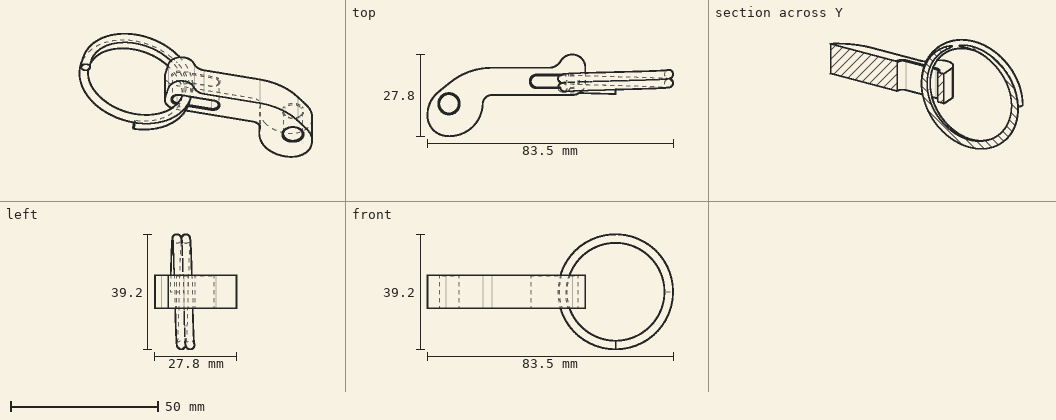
import cadquery as cq
import math

clip_thickness = 11.3
arm_half_width = 4.7
arm_start_x = 21.9
knob_center_x = 49.2
knob_radius = 4.5

foot_left_radius = 7.0
foot_left_center_y = -11.6
foot_right_radius = 11.35
foot_right_center_x = 7.5
inner_corner_radius = 3.0

shoulder_radius = 22.55
shoulder_sweep = 40.4

pin_hole_diameter = 6.5
pin_hole_x = 7.35
pin_hole_y = -7.6

slot_width = 3.9
slot_left_x = 35.15

chamfer_depth = 0.25
chamfer_width = 0.4

overall_length = 83.5
ring_outer_diameter = 39.15
wire_diameter = 3.0
coil_gap = 0.02
coil_turns = 1.75
coil_start_y = -2.8

tip_x = knob_center_x + knob_radius
slot_right_x = knob_center_x + slot_width / 2
coil_radius = (ring_outer_diameter - wire_diameter) / 2
coil_pitch = wire_diameter + coil_gap
ring_center_x = overall_length - ring_outer_diameter / 2


def point_between(start, end, fraction):
    """Return the point at a fraction of the way from start to end, or past it."""
    return (
        start[0] + fraction * (end[0] - start[0]),
        start[1] + fraction * (end[1] - start[1]),
    )


def shoulder_point(sweep):
    """Return the point of the shoulder arc at a sweep in degrees past the end of the arm."""
    angle = math.radians(sweep)
    return (
        arm_start_x - shoulder_radius * math.sin(angle),
        arm_half_width - shoulder_radius * (1 - math.cos(angle)),
    )


def make_clip_blank():
    """Extrude the outline of the clip, centered on Z = 0."""
    knob_center = (knob_center_x, arm_half_width)
    neck_center = (
        knob_center_x - math.sqrt((2 * knob_radius) ** 2 - knob_radius ** 2),
        arm_half_width + knob_radius,
    )
    neck_start = (neck_center[0], arm_half_width)
    neck_end = point_between(neck_center, knob_center, 0.5)

    shoulder_angle = math.radians(shoulder_sweep)
    shoulder_end_direction = (-math.cos(shoulder_angle), -math.sin(shoulder_angle))

    foot_left_center = (foot_left_radius, foot_left_center_y)
    radius_difference = foot_right_radius - foot_left_radius
    foot_center_shift = foot_right_center_x - foot_left_radius
    foot_right_center = (
        foot_right_center_x,
        foot_left_center_y + math.sqrt(radius_difference ** 2 - foot_center_shift ** 2),
    )
    foot_join = point_between(
        foot_right_center, foot_left_center, foot_right_radius / radius_difference)

    corner_center_y = -arm_half_width - inner_corner_radius
    corner_reach = foot_right_radius + inner_corner_radius
    corner_drop = foot_right_center[1] - corner_center_y
    corner_center = (
        foot_right_center_x + math.sqrt(corner_reach ** 2 - corner_drop ** 2),
        corner_center_y,
    )
    corner_start = point_between(foot_right_center, corner_center, foot_right_radius / corner_reach)

    return (
        cq.Workplane("XY", origin=(0, 0, -clip_thickness / 2))
        .moveTo(*neck_start)
        .lineTo(arm_start_x, arm_half_width)
        .threePointArc(shoulder_point(shoulder_sweep / 2), shoulder_point(shoulder_sweep))
        .spline(
            [(0, foot_left_center_y)],
            tangents=[shoulder_end_direction, (0, -1)],
            includeCurrent=True)
        .tangentArcPoint(foot_join, relative=False)
        .tangentArcPoint(corner_start, relative=False)
        .tangentArcPoint((corner_center[0], -arm_half_width), relative=False)
        .lineTo(knob_center_x, -arm_half_width)
        .tangentArcPoint((tip_x, knob_radius - arm_half_width), relative=False)
        .lineTo(tip_x, arm_half_width)
        .tangentArcPoint(neck_end, relative=False)
        .tangentArcPoint(neck_start, relative=False)
        .close()
        .extrude(clip_thickness)
    )


def draw_pin_hole(plane, growth):
    """Draw the pin hole on a plane, grown outward all around."""
    return plane.center(pin_hole_x, pin_hole_y).circle(pin_hole_diameter / 2 + growth)


def draw_slot(plane, growth):
    """Draw the slot on a plane, grown outward all around."""
    length = slot_right_x - slot_left_x + 2 * growth
    middle_x = (slot_left_x + slot_right_x) / 2
    return plane.center(middle_x, 0).slot2D(length, slot_width + 2 * growth)


def cut_chamfered_opening(clip, draw_profile):
    """Cut a profile through the clip and chamfer the opening at both faces."""
    lower_face = cq.Workplane("XY", origin=(0, 0, -clip_thickness / 2))
    through = draw_profile(lower_face, 0).extrude(clip_thickness)
    taper = math.degrees(math.atan2(chamfer_width, chamfer_depth))
    lower_flare = draw_profile(lower_face, chamfer_width).extrude(chamfer_depth, taper=taper)
    upper_flare = lower_flare.mirror("XY")
    return clip.cut(through).cut(lower_flare).cut(upper_flare)


def make_split_ring():
    """Sweep the wire along a helix that starts at the bottom of the ring."""
    start_plane = cq.Plane(
        origin=(ring_center_x, coil_start_y, 0), xDir=(0, 0, -1), normal=(0, 1, 0))
    coil_path = cq.Wire.makeHelix(coil_pitch, coil_turns * coil_pitch, coil_radius)
    wire_section = cq.Workplane("XZ").center(coil_radius, 0).circle(wire_diameter / 2)
    coil = wire_section.sweep(cq.Workplane(obj=coil_path), isFrenet=True)
    return cq.Workplane(obj=coil.val().moved(cq.Location(start_plane)))


def make_clip(split_ring):
    """Build the clip with its pin hole and slot, grooved where the ring passes through."""
    clip = make_clip_blank()
    for draw_profile in (draw_pin_hole, draw_slot):
        clip = cut_chamfered_opening(clip, draw_profile)
    return clip.cut(split_ring).solids()


split_ring = make_split_ring()
clip = make_clip(split_ring)

result = cq.Compound.makeCompound([clip.val(), split_ring.val()])